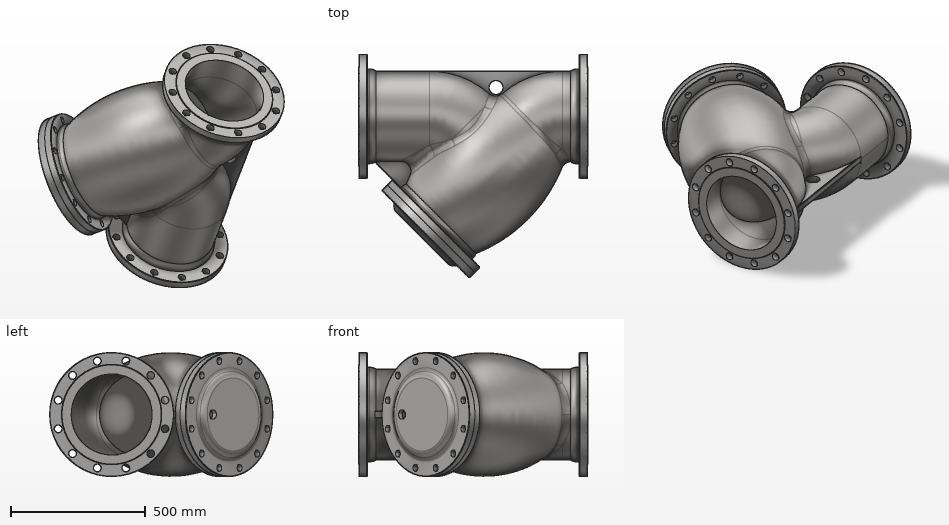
import cadquery as cq
import math

RUN_LENGTH = 850.0
PIPE_RADIUS = 168.0
PIPE_WALL = 18.0
BORE_RADIUS = PIPE_RADIUS - PIPE_WALL
BEND_RADIUS = 169.0
BEND_ANGLE = 45.0
INLET_BEND_X = -162.5
OUTLET_BEND_X = 330.0

FLANGE_RADIUS = 230.0
FLANGE_THICKNESS = 32.0
RAISED_FACE_RADIUS = 184.0
RAISED_FACE_HEIGHT = 2.0
FLANGE_CHAMFER = 2.0
BOLT_CIRCLE_RADIUS = 205.0
BOLT_COUNT = 12
PIPE_BOLT_DIAMETER = 28.0
COVER_BOLT_DIAMETER = 25.0

HUB_RADIUS = 176.0
HUB_RIM = 8.0
HUB_LENGTH = 33.0

SIN_BEND = math.sin(math.radians(BEND_ANGLE))
BEND_RUN = BEND_RADIUS * SIN_BEND
BEND_DROP = BEND_RADIUS * (1 - SIN_BEND)
OUTLET_BEND_END_X = OUTLET_BEND_X - BEND_RUN
LOWEST_Y = -598.08
COVER_FACE_Y = LOWEST_Y + (FLANGE_RADIUS - FLANGE_CHAMFER) * SIN_BEND
COVER_FACE_X = OUTLET_BEND_END_X + BEND_DROP + COVER_FACE_Y
COVER_THICKNESS = 29.0
BARREL_FLANGE_THICKNESS = 27.0
COVER_STACK = COVER_THICKNESS + BARREL_FLANGE_THICKNESS
NECK_RADIUS = 187.0
NECK_RIM = 8.0
BARREL_START = COVER_STACK + 25.0
BARREL_MIDDLE = 307.0
BARREL_LENGTH = (OUTLET_BEND_END_X - COVER_FACE_X) / SIN_BEND
BARREL_OVERLAP = 30.0
BARREL_MAX_RADIUS = 229.0
BARREL_ARC_RADIUS = 577.0
BARREL_WALL = 24.0
BLEND_RADIUS = 36.0

DOME_BASE_RADIUS = 173.0
DOME_SIDE_RADIUS = 160.0
DOME_HEIGHT = 19.0
DOME_WALL = 20.0
DOME_FLAT_RADIUS = 135.5
DRAIN_DIAMETER = 35.0
DRAIN_OFFSET = 105.0

WEB_THICKNESS = 25.0
WEB_CHAMFER = 2.0
LIFTING_HOLE_DIAMETER = 51.0
LIFTING_HOLE_X = 84.5
LIFTING_HOLE_Y = 107.0

BARREL_PLANE = cq.Plane(origin=(COVER_FACE_X, COVER_FACE_Y, 0), xDir=(1, -1, 0), normal=(1, 1, 0))


def bolt_holes(plane, diameter, depth):
    holes = cq.Workplane(plane).polarArray(BOLT_CIRCLE_RADIUS, 180 / BOLT_COUNT, 360, BOLT_COUNT)
    return holes.circle(diameter / 2).extrude(depth)


def half_section(plane):
    """Workplane for a turned outline: X is the radius, Y the distance along the plane's normal."""
    return cq.Workplane(cq.Plane(plane.origin, plane.xDir, plane.xDir.cross(plane.zDir)))


def turned(outline):
    return outline.close().revolve(360, (0, 0, 0), (0, 1, 0))


def pipe_end_plane(side):
    """Plane on a pipe flange face, with its normal pointing into the pipe."""
    return cq.Plane(origin=(side * RUN_LENGTH / 2, 0, 0), xDir=(0, 1, 0), normal=(-side, 0, 0))


def pipe_end(side):
    """Flange with raised face and flared hub at one end of the run."""
    hub_end = FLANGE_THICKNESS + HUB_LENGTH
    outline = (
        half_section(pipe_end_plane(side))
        .lineTo(RAISED_FACE_RADIUS, 0)
        .lineTo(RAISED_FACE_RADIUS + RAISED_FACE_HEIGHT, RAISED_FACE_HEIGHT)
        .lineTo(FLANGE_RADIUS, RAISED_FACE_HEIGHT)
        .lineTo(FLANGE_RADIUS, FLANGE_THICKNESS - FLANGE_CHAMFER)
        .lineTo(FLANGE_RADIUS - FLANGE_CHAMFER, FLANGE_THICKNESS)
        .lineTo(HUB_RADIUS, FLANGE_THICKNESS)
        .lineTo(HUB_RADIUS, FLANGE_THICKNESS + HUB_RIM)
        .tangentArcPoint((PIPE_RADIUS, hub_end), relative=False)
        .lineTo(0, hub_end)
    )
    return turned(outline)


def straight(radius, x_start, x_end):
    return cq.Workplane("YZ", origin=(x_start, 0, 0)).circle(radius).extrude(x_end - x_start)


def elbow(radius, x_start, direction):
    """Bend from the run towards -Y; direction is the way along X that the flow leaves the run."""
    section = cq.Workplane("YZ", origin=(x_start, 0, 0)).circle(radius)
    return section.revolve(BEND_ANGLE, (-BEND_RADIUS, 0, 0), (-BEND_RADIUS, -direction, 0))


def inlet(radius):
    """Straight inlet pipe, its elbow and a straight end that reaches the barrel axis."""
    end_x = INLET_BEND_X + BEND_RUN
    end_plane = cq.Plane(origin=(end_x, -BEND_DROP, 0), xDir=(0, 0, 1), normal=(1, -1, 0))
    reach = (COVER_FACE_X - COVER_FACE_Y - end_x - BEND_DROP) * SIN_BEND
    pipe = straight(radius, -RUN_LENGTH / 2, INLET_BEND_X)
    stub = cq.Workplane(end_plane).circle(radius).extrude(reach)
    return pipe.union(elbow(radius, INLET_BEND_X, 1)).union(stub)


def outlet(radius):
    pipe = straight(radius, OUTLET_BEND_X, RUN_LENGTH / 2)
    return pipe.union(elbow(radius, OUTLET_BEND_X, -1))


def barrel_radius(place, inset):
    """Radius of the barrel's bulging side, moved inwards by inset."""
    arc_radius = BARREL_ARC_RADIUS - inset
    centre = BARREL_MAX_RADIUS - BARREL_ARC_RADIUS
    return centre + math.sqrt(arc_radius**2 - (place - BARREL_MIDDLE)**2)


def bulge(outline, start, end, inset):
    """Add the bulging side, from start to end, and the line back to the axis."""
    middle = (BARREL_MAX_RADIUS - inset, BARREL_MIDDLE)
    return (
        outline.lineTo(barrel_radius(start, inset), start)
        .threePointArc(middle, (barrel_radius(end, inset), end))
        .lineTo(0, end)
    )


def barrel():
    """Outside of the barrel as a solid of revolution."""
    end = BARREL_LENGTH + BARREL_OVERLAP
    outline = half_section(BARREL_PLANE).moveTo(0, BARREL_START)
    return turned(bulge(outline, BARREL_START, end, 0))


def barrel_flange():
    """Flange that carries the cover, with its flared neck."""
    outline = (
        half_section(BARREL_PLANE)
        .moveTo(0, COVER_THICKNESS)
        .lineTo(FLANGE_RADIUS, COVER_THICKNESS)
        .lineTo(FLANGE_RADIUS, COVER_STACK - FLANGE_CHAMFER)
        .lineTo(FLANGE_RADIUS - FLANGE_CHAMFER, COVER_STACK)
        .lineTo(NECK_RADIUS, COVER_STACK)
        .lineTo(NECK_RADIUS, COVER_STACK + NECK_RIM)
        .tangentArcPoint((barrel_radius(BARREL_START, 0), BARREL_START), relative=False)
        .lineTo(0, BARREL_START)
    )
    return turned(outline)


def barrel_cavity():
    """Inside of the barrel: a straight opening through the flange, then a bulge."""
    outline = (
        half_section(BARREL_PLANE)
        .moveTo(0, COVER_THICKNESS)
        .lineTo(barrel_radius(BARREL_START, BARREL_WALL), COVER_THICKNESS)
    )
    return turned(bulge(outline, BARREL_START, BARREL_LENGTH, BARREL_WALL))


def web(corners):
    """Plate centred on the XY plane, with chamfered outer edges."""
    plate = cq.Workplane("XY", origin=(0, 0, -WEB_THICKNESS / 2))
    return plate.polyline(corners).close().extrude(WEB_THICKNESS).faces("|Z").chamfer(WEB_CHAMFER)


def lifting_web():
    """Web between the two elbows, and the lifting hole that goes through it and the blend below."""
    corners = [(INLET_BEND_X, PIPE_RADIUS), (OUTLET_BEND_X, PIPE_RADIUS), (LIFTING_HOLE_X, 0)]
    hole = (
        cq.Workplane("XY", origin=(LIFTING_HOLE_X, LIFTING_HOLE_Y, -WEB_THICKNESS))
        .circle(LIFTING_HOLE_DIAMETER / 2)
        .extrude(2 * WEB_THICKNESS)
    )
    return web(corners), hole


def corner_web():
    """Web between the inlet pipe and the barrel, flush with the back of the barrel flange."""
    back = BARREL_PLANE.toWorldCoords((0, 0, COVER_STACK))
    pipe_corner = (back.x + back.y + PIPE_RADIUS, -PIPE_RADIUS)
    barrel_corner = BARREL_PLANE.toWorldCoords((BARREL_WALL / 2 - NECK_RADIUS, 0, COVER_STACK))
    return web([pipe_corner, (INLET_BEND_X, -BORE_RADIUS), (barrel_corner.x, barrel_corner.y)])


def build_body():
    """Hollow body; its outside is blended before flanges, webs and bores are added."""
    body = barrel().union(inlet(PIPE_RADIUS)).union(outlet(PIPE_RADIUS))
    body = body.edges("%BSPLINE").fillet(BLEND_RADIUS)
    body = body.union(pipe_end(-1)).union(pipe_end(1)).union(barrel_flange())
    upper_web, lifting_hole = lifting_web()
    body = body.union(upper_web).union(corner_web()).cut(lifting_hole)
    body = body.cut(barrel_cavity()).cut(inlet(BORE_RADIUS)).cut(outlet(BORE_RADIUS))
    for side in (-1, 1):
        body = body.cut(bolt_holes(pipe_end_plane(side), PIPE_BOLT_DIAMETER, FLANGE_THICKNESS))
    return body.cut(bolt_holes(BARREL_PLANE, COVER_BOLT_DIAMETER, COVER_STACK))


def build_cover():
    """Cover flange with a dome; two tangent arcs lead from the flange face to the flat of the dome."""
    foot_share = (DOME_BASE_RADIUS - DOME_SIDE_RADIUS) / (DOME_BASE_RADIUS - DOME_FLAT_RADIUS)
    foot_height = DOME_HEIGHT * foot_share
    outline = (
        half_section(BARREL_PLANE)
        .moveTo(0, COVER_THICKNESS)
        .lineTo(FLANGE_RADIUS, COVER_THICKNESS)
        .lineTo(FLANGE_RADIUS, FLANGE_CHAMFER)
        .lineTo(FLANGE_RADIUS - FLANGE_CHAMFER, 0)
        .lineTo(DOME_BASE_RADIUS, 0)
        .tangentArcPoint((DOME_SIDE_RADIUS, -foot_height), relative=False)
        .tangentArcPoint((DOME_FLAT_RADIUS, -DOME_HEIGHT), relative=False)
        .lineTo(0, -DOME_HEIGHT)
    )
    drain = (
        cq.Workplane(BARREL_PLANE)
        .workplane(offset=-DOME_HEIGHT)
        .center(-DRAIN_OFFSET, 0)
        .circle(DRAIN_DIAMETER / 2)
        .extrude(DOME_HEIGHT + COVER_THICKNESS)
    )
    hollow = (
        cq.Workplane(BARREL_PLANE)
        .workplane(offset=DOME_WALL - DOME_HEIGHT)
        .circle(DOME_FLAT_RADIUS)
        .extrude(DOME_HEIGHT - DOME_WALL + COVER_THICKNESS)
    )
    cover = turned(outline).cut(hollow).cut(drain)
    return cover.cut(bolt_holes(BARREL_PLANE, COVER_BOLT_DIAMETER, COVER_THICKNESS))


body = build_body()
cover = build_cover()
result = cq.Compound.makeCompound([body.val(), cover.val()])